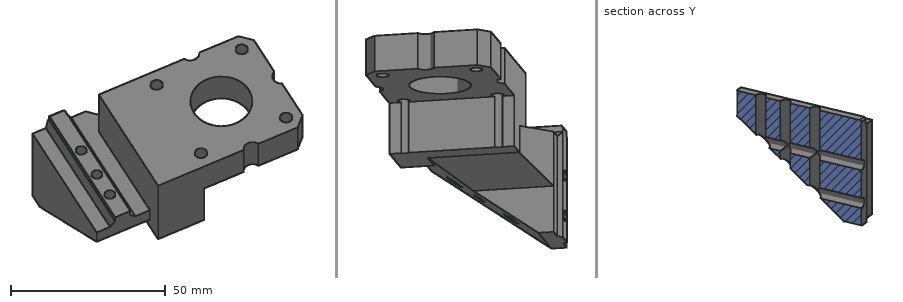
import cadquery as cq


block_width = 41.5
block_left = -block_width / 2
block_back = block_width / 2
block_front = -33.9
plate_thickness = 12.0
block_height = 29.0
leg_back = -17.0
corner_chamfer = 3.7
bore_diameter = 20.0
screw_diameter = 4.0
screw_pitch = 31.0
notch_radius = 2.95
notch_depth = 1.8

arm_front = -53.3
arm_left = -29.9
arm_right = 15.0
arm_top = -20.1
arm_bottom = -53.75
arm_right_end = -25.2
arm_foot_right = -24.8
gusset_size = 9.3

rail_center = -43.85
rail_base_width = 9.25
rail_width = 5.5
rail_top = -16.1
rail_left = -31.4
rail_end_chamfer = 0.6
pin_diameter = 3.5
top_pin_x = (-14.0, -3.0, 6.1)
left_pin_z = (-32.15, -45.7)

rail_flare = (rail_base_width - rail_width) / 2
side_rail_height = arm_left - rail_left
through = 222.15


def vertical_cylinders(points, diameter):
    return (
        cq.Workplane("XY")
        .pushPoints(points)
        .circle(diameter / 2)
        .extrude(through / 2, both=True)
    )


def make_block():
    block = (
        cq.Workplane("YZ", origin=(block_left, 0, 0))
        .moveTo(block_back, 0)
        .lineTo(block_back, -plate_thickness)
        .lineTo(leg_back, -plate_thickness)
        .lineTo(leg_back, -block_height)
        .lineTo(block_front, -block_height)
        .lineTo(block_front, 0)
        .close()
        .extrude(block_width)
        .edges("|Z and >Y")
        .chamfer(corner_chamfer)
    )
    screw_points = [
        (x_side * screw_pitch / 2, y_side * screw_pitch / 2)
        for x_side in (-1, 1)
        for y_side in (-1, 1)
    ]
    notch_offset = block_width / 2 + notch_radius - notch_depth
    notch_points = [(-notch_offset, 0), (notch_offset, 0), (0, notch_offset)]
    return (
        block.cut(vertical_cylinders([(0, 0)], bore_diameter))
        .cut(vertical_cylinders(screw_points, screw_diameter))
        .cut(vertical_cylinders(notch_points, 2 * notch_radius))
    )


def make_arm_outline(left, top):
    """Arm side outline, thick enough to cover the arm, rail and gusset."""
    return (
        cq.Workplane("XZ")
        .moveTo(left, top)
        .lineTo(arm_right, top)
        .lineTo(arm_right, arm_right_end)
        .lineTo(arm_foot_right, arm_bottom)
        .lineTo(left, arm_bottom)
        .close()
        .extrude(through / 2, both=True)
    )


def make_arm():
    plate = cq.Workplane("XY").box(
        arm_right - arm_left,
        block_front - arm_front,
        arm_top - arm_bottom,
        centered=False,
    ).translate((arm_left, arm_front, arm_bottom))
    return plate.intersect(make_arm_outline(arm_left, arm_top))


def make_gusset():
    """Web behind the arm, sloping at 45 degrees underneath and at its left end."""
    gusset_back = block_front + gusset_size
    underside = (
        cq.Workplane("YZ", origin=(arm_left, 0, 0))
        .moveTo(block_front, arm_top)
        .lineTo(gusset_back, arm_top)
        .lineTo(gusset_back, -block_height)
        .lineTo(block_front, -block_height - gusset_size)
        .close()
        .extrude(arm_right - arm_left)
    )
    plan = (
        cq.Workplane("XY")
        .moveTo(arm_left, block_front)
        .lineTo(arm_left + gusset_size, gusset_back)
        .lineTo(arm_right, gusset_back)
        .lineTo(arm_right, block_front)
        .close()
        .extrude(-through)
    )
    return underside.intersect(plan).intersect(make_arm_outline(arm_left, arm_top))


def make_rail():
    """Flared rail whose top and left runs meet in mitred corners."""
    half_base = rail_base_width / 2
    half_width = rail_width / 2
    half_left = half_base - side_rail_height
    flare_top = arm_top + rail_flare
    top_run = (
        cq.Workplane("YZ", origin=(rail_left, rail_center, 0))
        .moveTo(-half_base, arm_bottom)
        .lineTo(-half_base, arm_top)
        .lineTo(-half_width, flare_top)
        .lineTo(-half_width, rail_top)
        .lineTo(half_width, rail_top)
        .lineTo(half_width, flare_top)
        .lineTo(half_base, arm_top)
        .lineTo(half_base, arm_bottom)
        .close()
        .extrude(arm_right - rail_left)
    )
    left_run = (
        cq.Workplane("XY", origin=(0, rail_center, 0))
        .moveTo(rail_left, -half_left)
        .lineTo(arm_left, -half_base)
        .lineTo(arm_right, -half_base)
        .lineTo(arm_right, half_base)
        .lineTo(arm_left, half_base)
        .lineTo(rail_left, half_left)
        .close()
        .extrude(-through)
    )
    outline = make_arm_outline(rail_left, rail_top).edges("|Y and <X and >Z").chamfer(rail_end_chamfer)
    return top_run.intersect(left_run).intersect(outline)


def make_pin_holes():
    top_pins = vertical_cylinders([(x, rail_center) for x in top_pin_x], pin_diameter)
    left_pins = (
        cq.Workplane("YZ")
        .pushPoints([(rail_center, z) for z in left_pin_z])
        .circle(pin_diameter / 2)
        .extrude(through / 2, both=True)
    )
    return top_pins.union(left_pins)


arm = make_arm().union(make_rail()).cut(make_pin_holes())
result = make_block().union(arm).union(make_gusset())